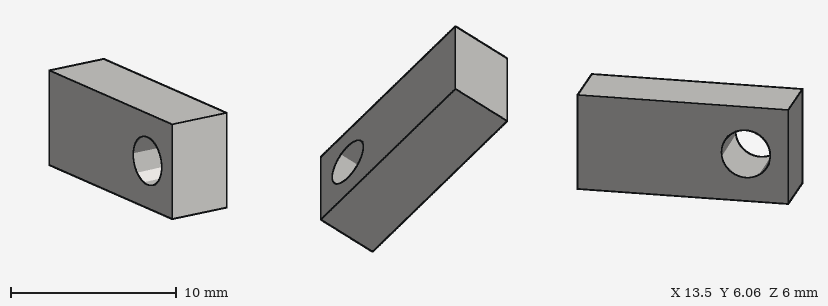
import cadquery as cq
import math

overall_x = 13.48
height = 6.0

thickness = 4.0
turn_angle = 9.35
turn = math.radians(turn_angle)
length = (overall_x - thickness * math.sin(turn)) / math.cos(turn)

hole_diameter = 3.0
hole_end_distance = 2.62
hole_offset = length / 2 - hole_end_distance

block = cq.Workplane("XY").box(length, thickness, height)

drilled_block = (
    block.faces("<Y")
    .workplane(centerOption="CenterOfBoundBox")
    .center(hole_offset, 0)
    .hole(hole_diameter)
)

result = drilled_block.rotate((0, 0, 0), (0, 0, 1), turn_angle)